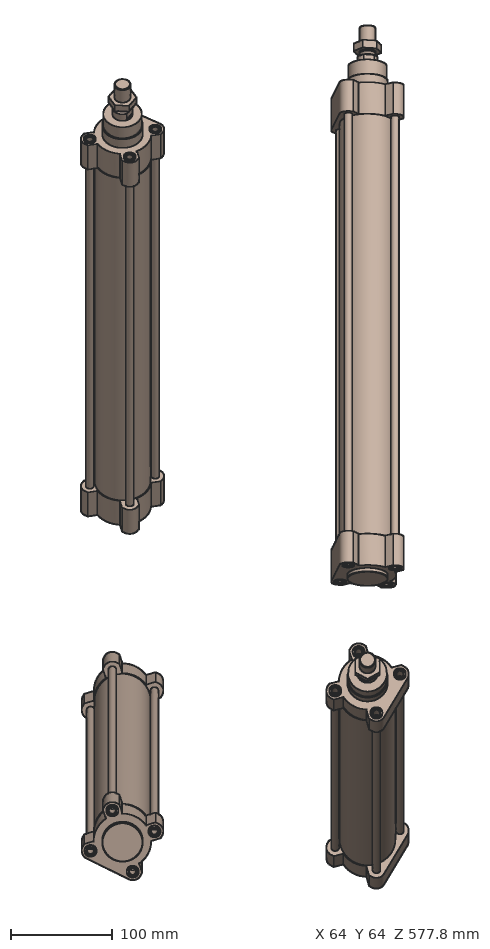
import cadquery as cq
import math


overall_length = 577.8
pilot_height = 4.0
housing_length = 506.0
cover_length = 33.0
rear_cover_bottom = pilot_height
rear_cover_top = rear_cover_bottom + cover_length
front_cover_top = rear_cover_bottom + housing_length
front_cover_bottom = front_cover_top - cover_length

half_cover = 64.0 / 2
bolt_offset = 46.5 / 2
bolt_centers = [(x, y) for x in (-bolt_offset, bolt_offset) for y in (-bolt_offset, bolt_offset)]
corner_radius = half_cover - bolt_offset
bulge_radius = 28.25
lobe_flat_end = 19.9
flank_angle = math.radians(45)
flank_run = 6.8

pilot_diameter = 40.0
collar_height = 12.25
pilot_chamfer = 0.5
snout_diameter = 38.0
snout_top_height = 27.3
snout_top = front_cover_top + snout_top_height

tube_diameter = 55.0
tie_rod_diameter = 8.0

screw_diameter = 12.0
screw_rim_diameter = 11.45
rim_groove_depth = 0.5
screw_hole_diameter = 6.65
screw_countersink_diameter = 8.0
screw_hole_depth = 16.0
drill_point_half_angle = math.radians(118 / 2)

rod_diameter = 20.0
thread_diameter = 16.0
thread_end_diameter = 14.38
neck_diameter = 13.2
thread_length = 31.5
shoulder_z = overall_length - thread_length
neck_length = 1.6
runout_length = 1.4
neck_taper_length = 1.4
flat_width = 17.0
flat_length = 7.5
rod_bottom = front_cover_bottom

nut_width = 24.0
nut_thickness = 8.0
nut_top_drop = 17.6
nut_top = overall_length - nut_top_drop


def cylinder(diameter, bottom, top):
    return cq.Workplane("XY").workplane(offset=bottom).circle(diameter / 2).extrude(top - bottom)


def corner_lobe():
    """Lobe in the +X +Y corner: rounded outside, with two flanks running in to the middle."""
    foot_near = lobe_flat_end - flank_run
    foot_far = half_cover - flank_run * math.tan(flank_angle)
    arc_middle = bolt_offset + corner_radius * math.cos(math.pi / 4)
    return (
        cq.Workplane("XY")
        .moveTo(foot_near, foot_far)
        .lineTo(lobe_flat_end, half_cover)
        .lineTo(bolt_offset, half_cover)
        .threePointArc((arc_middle, arc_middle), (half_cover, bolt_offset))
        .lineTo(half_cover, lobe_flat_end)
        .lineTo(foot_far, foot_near)
        .close()
        .extrude(cover_length)
    )


def end_cover():
    """Round middle, four corner lobes, and a +Y side filled out to a flat face."""
    cover = cylinder(2 * bulge_radius, 0, cover_length)
    for quarter in range(4):
        cover = cover.union(corner_lobe().rotate((0, 0, 0), (0, 0, 1), 90 * quarter))
    flat_side = cq.Workplane("XY").rect(2 * bolt_offset, half_cover).extrude(cover_length)
    flat_side = flat_side.translate((0, half_cover / 2, 0))
    return cover.union(flat_side)


def screw_end():
    """Cutter for one screw end: rim groove, countersink and drilled hole below z = 0."""
    hole_radius = screw_hole_diameter / 2
    countersink_radius = screw_countersink_diameter / 2
    countersink_depth = countersink_radius - hole_radius
    point_depth = screw_hole_depth + hole_radius / math.tan(drill_point_half_angle)
    hole = (
        cq.Workplane("XZ")
        .moveTo(0, 0)
        .lineTo(countersink_radius, 0)
        .lineTo(hole_radius, -countersink_depth)
        .lineTo(hole_radius, -screw_hole_depth)
        .lineTo(0, -point_depth)
        .close()
        .revolve(360, (0, 0, 0), (0, 1, 0))
    )
    groove = cylinder(screw_diameter, -rim_groove_depth, 0)
    groove = groove.cut(cylinder(screw_rim_diameter, -rim_groove_depth, 0))
    return hole.union(groove)


def make_housing():
    rear = end_cover().translate((0, 0, rear_cover_bottom))
    front = end_cover().translate((0, 0, front_cover_bottom))
    tube = cylinder(tube_diameter, rear_cover_top, front_cover_bottom)
    housing = rear.union(tube).union(front)
    tie_rod = cylinder(tie_rod_diameter, rear_cover_top, front_cover_bottom)
    for x, y in bolt_centers:
        housing = housing.union(tie_rod.translate((x, y, 0)))

    collar_top = front_cover_top + collar_height
    rear_pilot = cylinder(pilot_diameter, 0, rear_cover_bottom)
    collar = cylinder(pilot_diameter, front_cover_top, collar_top)
    snout = cylinder(snout_diameter, collar_top, snout_top)
    housing = housing.union(rear_pilot.faces("<Z").chamfer(pilot_chamfer))
    housing = housing.union(collar.faces(">Z").chamfer(pilot_chamfer)).union(snout)

    front_screw_end = screw_end()
    rear_screw_end = front_screw_end.rotate((0, 0, 0), (1, 0, 0), 180)
    for x, y in bolt_centers:
        housing = housing.cut(front_screw_end.translate((x, y, front_cover_top)))
        housing = housing.cut(rear_screw_end.translate((x, y, rear_cover_bottom)))

    return housing.cut(cylinder(rod_diameter, rod_bottom, snout_top))


def make_piston_rod():
    """Turned rod with a threaded tip and neck, and two wrench flats facing -X and +X."""
    tip_chamfer = (thread_diameter - thread_end_diameter) / 2
    neck_top = shoulder_z + neck_length
    runout_bottom = neck_top + neck_taper_length
    rod = (
        cq.Workplane("XZ")
        .moveTo(0, rod_bottom)
        .lineTo(rod_diameter / 2, rod_bottom)
        .lineTo(rod_diameter / 2, shoulder_z)
        .lineTo(neck_diameter / 2, shoulder_z)
        .lineTo(neck_diameter / 2, neck_top)
        .lineTo(thread_end_diameter / 2, runout_bottom)
        .lineTo(thread_diameter / 2, runout_bottom + runout_length)
        .lineTo(thread_diameter / 2, overall_length - tip_chamfer)
        .lineTo(thread_end_diameter / 2, overall_length)
        .lineTo(0, overall_length)
        .close()
        .revolve(360, (0, 0, 0), (0, 1, 0))
    )
    flats = (
        cq.Workplane("XY")
        .workplane(offset=shoulder_z - flat_length)
        .rect(2 * rod_diameter, 2 * rod_diameter)
        .rect(flat_width, 2 * rod_diameter)
        .extrude(flat_length)
    )
    return rod.cut(flats)


def make_lock_nut():
    """Hexagon nut with two sides facing -X and +X, bored to fit the thread."""
    across_corners = nut_width / math.cos(math.pi / 6)
    return (
        cq.Workplane("XY")
        .workplane(offset=nut_top - nut_thickness)
        .transformed(rotate=(0, 0, 30))
        .polygon(6, across_corners)
        .circle(thread_diameter / 2)
        .extrude(nut_thickness)
    )


housing = make_housing()
piston_rod = make_piston_rod()
lock_nut = make_lock_nut()

result = cq.Compound.makeCompound([housing.val(), piston_rod.val(), lock_nut.val()])